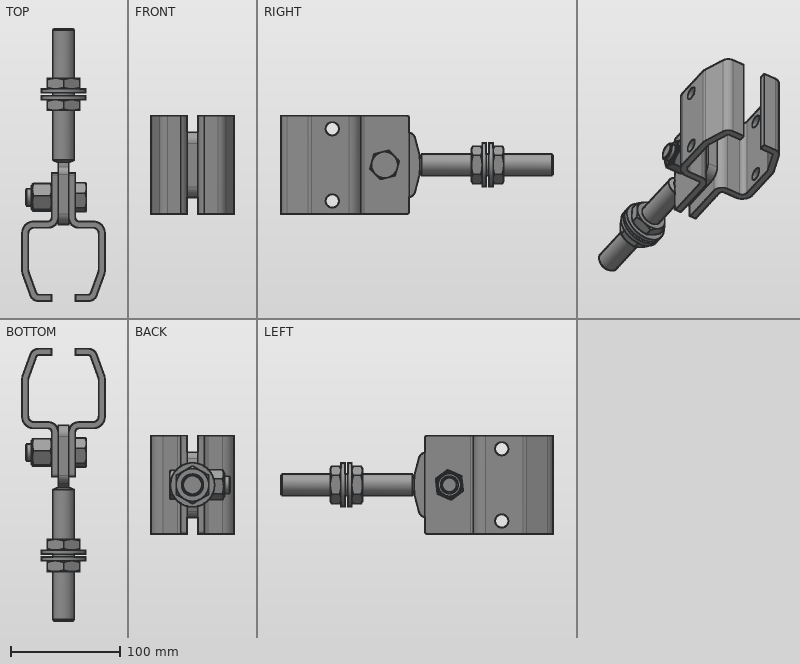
import cadquery as cq
import math


CLAMP_HEIGHT = 90.0
CLAMP_WIDTH = 76.0
CLAMP_HALF_WIDTH = CLAMP_WIDTH / 2
SHEET = 6.0
CLAMP_TOP = 22.5
CLAMP_BOTTOM = -94.9
CLAMP_CORNER = 2.0
SHOULDER_TOP = -22.0
NECK_BEND = 3.0
SHOULDER_BEND = 5.0
KINK_Y = -68.7
KINK_ANGLE = 20.0
KINK_BEND = 4.0
LIP_BEND = 2.0
RAIL_HOLE_DIAMETER = 12.0
RAIL_HOLE_Y = -47.8
RAIL_HOLE_SPACING = 66.0

TONGUE_THICKNESS = 10.0
TONGUE_WIDTH = 59.8
TONGUE_BOTTOM = -25.0
TONGUE_CORNER = 10.0
TONGUE_SHOULDER = 26.6
TONGUE_SHOULDER_ROUND = 7.5
TONGUE_TOP = 32.0
TONGUE_TOP_WIDTH = 17.5
ROD_DIAMETER = 20.0
ROD_BOTTOM = TONGUE_TOP
ROD_TOP = 154.1
ROD_CHAMFER = 1.5
ROD_FOOT_HEIGHT = 2.0
ROD_FOOT_DIAMETER = 11.2

CONE_ANGLE = 30.0

ROD_NUT_FLATS = 30.0
ROD_NUT_HEIGHT = 9.7
ROD_NUT_TURN = 90.0
WASHER_DIAMETER = 40.3
WASHER_THICKNESS = 3.7
WASHER_GAP = 2.5
WASHER_MIDDLE = 94.0

BOLT_DIAMETER = 16.0
BOLT_HOLE_DIAMETER = 16.5
BOLT_END = -34.4
BOLT_TIP_DIAMETER = 14.0
BOLT_TIP_LENGTH = 1.5
BOLT_FLATS = 24.0
HEAD_HEIGHT = 10.0
HEAD_TURN = -15.5
LOCK_NUT_HEIGHT = 17.5
LOCK_NUT_TURN = -6.6
COLLAR_HEIGHT = 1.2
COLLAR_BASE_DIAMETER = 22.5
COLLAR_RIM_DIAMETER = 20.7

WEB_INNER = TONGUE_THICKNESS / 2
WEB_OUTER = WEB_INNER + SHEET


def disc(plane, diameter, start, end):
    """Cylinder between two heights along the plane's normal, which is -Y for XZ."""
    return cq.Workplane(plane).workplane(offset=start).circle(diameter / 2).extrude(end - start)


def make_clamp(side):
    """Bent plate on the +X side, mirrored for the -X side."""
    kink = math.radians(KINK_ANGLE)
    lip_x = CLAMP_HALF_WIDTH - (KINK_Y - CLAMP_BOTTOM) * math.tan(kink)
    inner_kink_y = KINK_Y + SHEET * math.tan(kink / 2)
    inner_lip_x = lip_x - SHEET * math.tan((math.pi / 2 - kink) / 2)
    outer = [
        (WEB_OUTER, SHOULDER_TOP, NECK_BEND),
        (CLAMP_HALF_WIDTH, SHOULDER_TOP, SHOULDER_BEND + SHEET),
        (CLAMP_HALF_WIDTH, KINK_Y, KINK_BEND + SHEET),
        (lip_x, CLAMP_BOTTOM, LIP_BEND + SHEET),
    ]
    inner = [
        (inner_lip_x, CLAMP_BOTTOM + SHEET, LIP_BEND),
        (CLAMP_HALF_WIDTH - SHEET, inner_kink_y, KINK_BEND),
        (CLAMP_HALF_WIDTH - SHEET, SHOULDER_TOP - SHEET, SHOULDER_BEND),
        (WEB_INNER, SHOULDER_TOP - SHEET, NECK_BEND + SHEET),
    ]
    points = [(WEB_INNER, CLAMP_TOP), (WEB_OUTER, CLAMP_TOP)]
    points += [(x, y) for x, y, _ in outer]
    points += [(WEB_OUTER, CLAMP_BOTTOM), (WEB_OUTER, CLAMP_BOTTOM + SHEET)]
    points += [(x, y) for x, y, _ in inner]
    clamp = cq.Workplane("XY").polyline(points).close().extrude(CLAMP_HEIGHT / 2, both=True)
    for x, y, radius in outer + inner:
        clamp = clamp.edges(cq.NearestToPointSelector((x, y, 0))).fillet(radius)
    clamp = clamp.faces(">Y").edges("|X").fillet(CLAMP_CORNER)
    for z in (-RAIL_HOLE_SPACING / 2, RAIL_HOLE_SPACING / 2):
        rail_hole = disc("YZ", RAIL_HOLE_DIAMETER, 0, CLAMP_HALF_WIDTH)
        clamp = clamp.cut(rail_hole.translate((0, RAIL_HOLE_Y, z)))
    clamp = clamp.cut(disc("YZ", BOLT_HOLE_DIAMETER, 0, CLAMP_HALF_WIDTH))
    return clamp if side > 0 else clamp.mirror("YZ")


def make_hanger():
    """Flat tongue and threaded rod in one piece; the outline is given as (y, z)."""
    half_width = TONGUE_WIDTH / 2
    half_top = TONGUE_TOP_WIDTH / 2
    bottom_corners = [(TONGUE_BOTTOM, -half_width), (TONGUE_BOTTOM, half_width)]
    shoulders = [(TONGUE_SHOULDER, half_width), (TONGUE_SHOULDER, -half_width)]
    top_corners = [(TONGUE_TOP, half_top), (TONGUE_TOP, -half_top)]
    outline = [*bottom_corners, shoulders[0], *top_corners, shoulders[1]]
    tongue = cq.Workplane("YZ").polyline(outline).close().extrude(TONGUE_THICKNESS / 2, both=True)
    for corners, radius in ((bottom_corners, TONGUE_CORNER), (shoulders, TONGUE_SHOULDER_ROUND)):
        for y, z in corners:
            tongue = tongue.edges(cq.NearestToPointSelector((0, y, z))).fillet(radius)
    rod = disc("XZ", ROD_DIAMETER, -ROD_TOP, -ROD_BOTTOM).faces(">Y").chamfer(ROD_CHAMFER)
    rod = rod.faces("<Y").chamfer(ROD_FOOT_HEIGHT, (ROD_DIAMETER - ROD_FOOT_DIAMETER) / 2)
    hole = disc("YZ", BOLT_HOLE_DIAMETER, -WEB_INNER, WEB_INNER)
    return tongue.union(rod).cut(hole)


def hex_prism(flats, height, turn, coned_ends="|Z"):
    """Hexagon along Z from 0 to height, its corners coned off at the chosen ends."""
    corner = flats / math.sqrt(3)
    prism = cq.Workplane("XY").polygon(6, 2 * corner).extrude(height).rotate((0, 0, 0), (0, 0, 1), turn)
    blank = cq.Workplane("XY").circle(corner).extrude(height)
    cone_depth = corner - flats / 2
    blank = blank.faces(coned_ends).chamfer(cone_depth * math.tan(math.radians(CONE_ANGLE)), cone_depth)
    return prism.intersect(blank)


def make_rod_nut(side):
    """Nut above (+1) or below (-1) the washer pair."""
    nut = hex_prism(ROD_NUT_FLATS, ROD_NUT_HEIGHT, ROD_NUT_TURN)
    nut = nut.cut(disc("XY", ROD_DIAMETER, 0, ROD_NUT_HEIGHT))
    start = WASHER_GAP / 2 + WASHER_THICKNESS
    nut = nut.translate((0, 0, start)).rotate((0, 0, 0), (1, 0, 0), -90 * side)
    return nut.translate((0, WASHER_MIDDLE, 0))


def make_washer(side):
    half = WASHER_THICKNESS / 2
    ring = disc("XZ", WASHER_DIAMETER, -half, half).cut(disc("XZ", ROD_DIAMETER, -half, half))
    return ring.translate((0, WASHER_MIDDLE + side * (WASHER_GAP + WASHER_THICKNESS) / 2, 0))


def along_x(body, start):
    """Lay a body built along Z so that it runs along +X from start."""
    body = body.rotate((0, 0, 0), (0, 1, 0), 90)
    return body.translate((start, 0, 0))


def make_bolt():
    head = along_x(hex_prism(BOLT_FLATS, HEAD_HEIGHT, HEAD_TURN, ">Z"), WEB_OUTER)
    shank = disc("YZ", BOLT_DIAMETER, BOLT_END, WEB_OUTER)
    shank = shank.faces("<X").chamfer((BOLT_DIAMETER - BOLT_TIP_DIAMETER) / 2, BOLT_TIP_LENGTH)
    return head.union(shank)


def make_lock_nut():
    start = -WEB_OUTER - LOCK_NUT_HEIGHT
    body = along_x(hex_prism(BOLT_FLATS, LOCK_NUT_HEIGHT, LOCK_NUT_TURN), start)
    cone = cq.Solid.makeCone(COLLAR_RIM_DIAMETER / 2, COLLAR_BASE_DIAMETER / 2, COLLAR_HEIGHT)
    collar = along_x(cq.Workplane(cone), start - COLLAR_HEIGHT)
    return body.union(collar).cut(disc("YZ", BOLT_DIAMETER, BOLT_END, 0))


sides = (-1, 1)
clamps = [make_clamp(side) for side in sides]
rod_nuts = [make_rod_nut(side) for side in sides]
washers = [make_washer(side) for side in sides]
hanger = make_hanger()
bolt = make_bolt()
lock_nut = make_lock_nut()

bodies = [*clamps, hanger, *rod_nuts, *washers, bolt, lock_nut]
result = cq.Compound.makeCompound([body.val() for body in bodies])